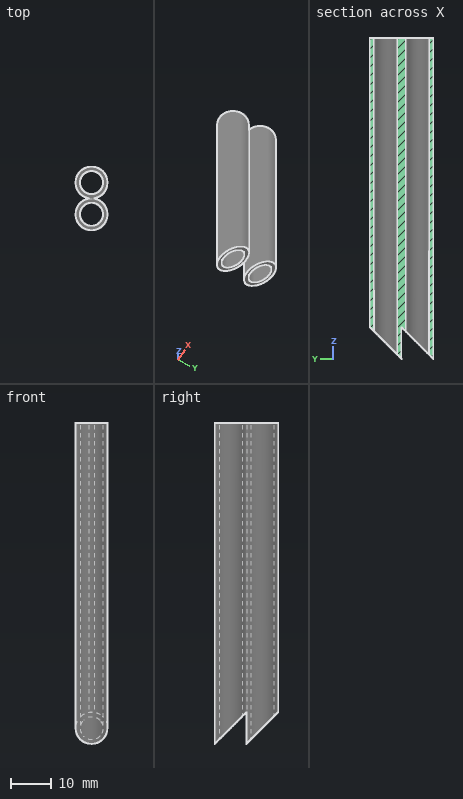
import cadquery as cq

tube_diameter = 8.0
bore_diameter = 5.7
tube_length = 80.0
tube_spacing = 7.9

tube_radius = tube_diameter / 2
bevel_height = tube_diameter


def bevel_cutter(center_y):
    """Wedge below the bevel, which rises from the -Y side to the +Y side."""
    low_y = center_y - tube_radius
    high_y = center_y + tube_radius
    return (
        cq.Workplane("YZ")
        .polyline([(low_y, 0), (high_y, 0), (high_y, bevel_height)])
        .close()
        .extrude(tube_radius, both=True)
    )


def beveled_rod(center_y):
    """Solid rod along Z with its lower end cut to a point on the -Y side."""
    rod = cq.Workplane("XY").center(0, center_y).circle(tube_radius).extrude(tube_length)
    return rod.cut(bevel_cutter(center_y))


def bore(center_y):
    """Cylinder that opens a tube over its whole length."""
    return cq.Workplane("XY").center(0, center_y).circle(bore_diameter / 2).extrude(tube_length)


front_y = -tube_spacing / 2
back_y = tube_spacing / 2

result = beveled_rod(front_y).union(beveled_rod(back_y))
for center_y in (front_y, back_y):
    result = result.cut(bore(center_y))